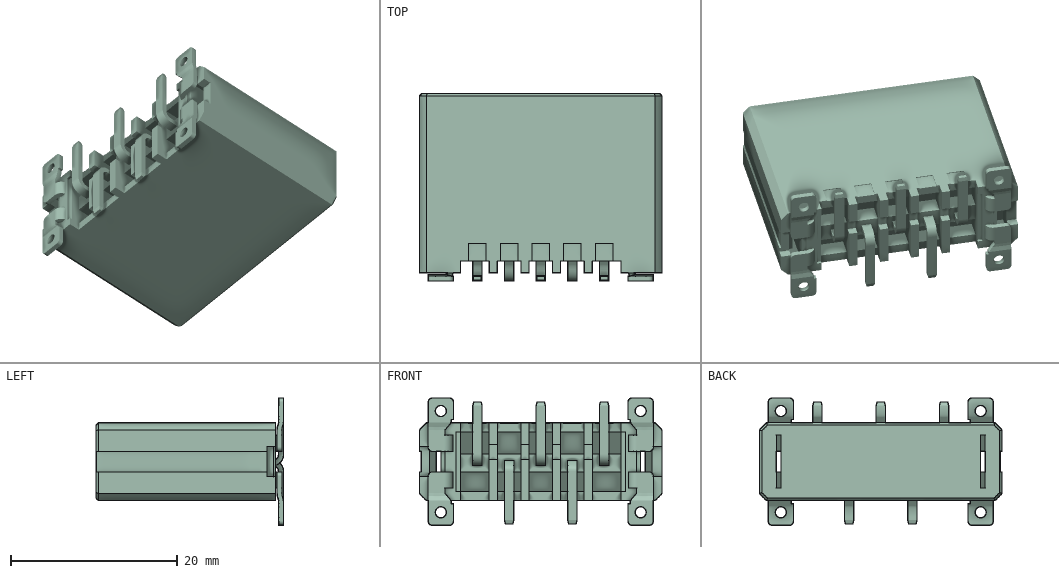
import cadquery as cq
import math

OVERALL_WIDTH = 29.24
OVERALL_DEPTH = 22.6
OVERALL_HEIGHT = 15.35
FRONT_OVERHANG = 0.97

BODY_DEPTH = OVERALL_DEPTH - FRONT_OVERHANG
BODY_HEIGHT = 9.38
CORNER_CHAMFER = 0.85
REAR_CHAMFER = 0.3

PIN_PITCH = 3.81
PIN_COUNT = 5
BAY_HALF_WIDTH = 9.65
BAY_HALF_HEIGHT = 3.6
NOSE_SETBACK = 1.42
WINDOW_HALF_WIDTH = 10.2
WINDOW_DEPTH = 0.3
BAY_DEPTH = 3.5
SEPTUM_TOP = 0.92
SEPTUM_BOTTOM = -1.24
SEPTUM_FRONT = NOSE_SETBACK
FINGER_WIDTH = 1.0
FINGER_GAP_DEPTH = 0.96
FINGER_GAP_TOP = 2.09
FINGER_GAP_BOTTOM = 0.27

PANEL_WIDTH = 2.1
PANEL_LENGTH = 2.1
PANEL_DEPTH = 0.1

CHANNEL_HALF_HEIGHT = 1.23
CHANNEL_DEPTH = 0.22
NOTCH_HALF_HEIGHT = 1.8
NOTCH_DEPTH = 1.0
NOTCH_INNER_X = 13.42
LEDGE_DEPTH = 0.22
LEDGE_INNER_X = 11.5
SLOT_OUTER_X = 12.58
SLOT_INNER_X = 12.03
POCKET_DEPTH = 3.0
POCKET_HALF_HEIGHT = 3.2

PIN_WIDTH = 1.15
PIN_THICKNESS = 0.64
PIN_BEND_RADIUS = 1.3
PIN_AXIS_Z = (SEPTUM_TOP + SEPTUM_BOTTOM) / 2
PIN_REACH = 7.35
PIN_TIP_LENGTH = 0.45
PIN_TIP_TAPER = 0.12

SHEET = 0.6
CLIP_TOP = OVERALL_HEIGHT / 2
CLIP_OUTER_X = 13.56
CLIP_INNER_X = 10.5
CLIP_NECK_X = 11.55
CLIP_BOTTOM = CHANNEL_HALF_HEIGHT
CLIP_HOLE_DIAMETER = 1.3
CLIP_HOLE_Z = 6.1
CLIP_CORNER = 0.5
PAD_FRONT = 0.77
JOGGLE_TOP = 4.7
JOGGLE_MIDDLE = 4.15
JOGGLE_BOTTOM = 3.8
JOGGLE_MIDDLE_FRONT = 0.8
LEG_TOP = POCKET_HALF_HEIGHT
LEG_DEPTH = POCKET_DEPTH
EAR_BOTTOM = 5.05
NECK_CHAMFER = 0.27


def box(x0, x1, y0, y1, z0, z1):
    """Axis-aligned box between two corners."""
    return cq.Workplane("XY").box(x1 - x0, y1 - y0, z1 - z0, centered=False).translate((x0, y0, z0))


def both_ends(shape):
    """The shape together with its mirror image across X = 0."""
    return shape.union(shape.mirror("YZ"))


PIN_POSITIONS = [(i - (PIN_COUNT - 1) / 2) * PIN_PITCH for i in range(PIN_COUNT)]
FINGER_POSITIONS = [x + PIN_PITCH / 2 for x in PIN_POSITIONS[:-1]]


def make_block():
    """Housing block with chamfered long edges and a small chamfer around the rear face."""
    block = cq.Workplane("XY").box(OVERALL_WIDTH, BODY_DEPTH, BODY_HEIGHT)
    block = block.translate((0, BODY_DEPTH / 2, 0))
    block = block.edges("|Y").chamfer(CORNER_CHAMFER)
    return block.faces(">Y").chamfer(REAR_CHAMFER)


def bay_cut():
    """Front opening: set-back nose, shallow window and deep bays around a septum."""
    half_height = BODY_HEIGHT / 2
    nose = box(-BAY_HALF_WIDTH, BAY_HALF_WIDTH, 0, NOSE_SETBACK, -half_height, half_height)
    window = box(-WINDOW_HALF_WIDTH, WINDOW_HALF_WIDTH, 0, WINDOW_DEPTH, -BAY_HALF_HEIGHT, BAY_HALF_HEIGHT)
    bays = box(-BAY_HALF_WIDTH, BAY_HALF_WIDTH, 0, BAY_DEPTH, -BAY_HALF_HEIGHT, BAY_HALF_HEIGHT)
    septum = box(-BAY_HALF_WIDTH, BAY_HALF_WIDTH, SEPTUM_FRONT, BAY_DEPTH, SEPTUM_BOTTOM, SEPTUM_TOP)
    opening = nose.union(window).union(bays).cut(septum)
    for x in FINGER_POSITIONS:
        opening = opening.cut(finger(x))
    return opening


def finger(x):
    """Divider between two bays, notched back near its middle."""
    left = x - FINGER_WIDTH / 2
    right = x + FINGER_WIDTH / 2
    wall = box(left, right, 0, BAY_DEPTH, -BODY_HEIGHT / 2, BODY_HEIGHT / 2)
    return wall.cut(box(left, right, 0, FINGER_GAP_DEPTH, FINGER_GAP_BOTTOM, FINGER_GAP_TOP))


def panel_cut(x):
    """Shallow square panel in the top face behind one bay."""
    top = BODY_HEIGHT / 2
    return box(x - PANEL_WIDTH / 2, x + PANEL_WIDTH / 2, NOSE_SETBACK, NOSE_SETBACK + PANEL_LENGTH,
               top - PANEL_DEPTH, top)


def end_cut():
    """Notch, pocket, through slot and shallow ledge at the -X end."""
    side = -OVERALL_WIDTH / 2
    notch = box(side, -NOTCH_INNER_X, 0, NOTCH_DEPTH, -NOTCH_HALF_HEIGHT, NOTCH_HALF_HEIGHT)
    pocket = box(-NOTCH_INNER_X, -SLOT_INNER_X, 0, POCKET_DEPTH, -POCKET_HALF_HEIGHT, POCKET_HALF_HEIGHT)
    slot = box(-SLOT_OUTER_X, -SLOT_INNER_X, 0, BODY_DEPTH, -POCKET_HALF_HEIGHT, POCKET_HALF_HEIGHT)
    ledge = box(-SLOT_INNER_X, -LEDGE_INNER_X, 0, LEDGE_DEPTH, -POCKET_HALF_HEIGHT, POCKET_HALF_HEIGHT)
    return notch.union(pocket).union(slot).union(ledge)


def make_housing():
    housing = make_block().cut(bay_cut()).cut(both_ends(end_cut()))
    side = -OVERALL_WIDTH / 2
    housing = housing.cut(box(side, side + CHANNEL_DEPTH, 0, BODY_DEPTH,
                              -CHANNEL_HALF_HEIGHT, CHANNEL_HALF_HEIGHT))
    for x in PIN_POSITIONS:
        housing = housing.cut(panel_cut(x))
    return housing


def make_pin(x, direction):
    """Right-angle pin; direction +1 turns up and -1 turns down."""
    front = -FRONT_OVERHANG
    half = PIN_THICKNESS / 2
    outer = PIN_BEND_RADIUS
    inner = PIN_BEND_RADIUS - PIN_THICKNESS
    centre_y = front + outer
    centre_z = outer - half
    diagonal = math.sqrt(0.5)
    shoulder = PIN_REACH - PIN_TIP_LENGTH
    profile = (
        cq.Workplane("YZ")
        .moveTo(BAY_DEPTH, -half)
        .lineTo(centre_y, -half)
        .threePointArc((centre_y - outer * diagonal, centre_z - outer * diagonal), (front, centre_z))
        .lineTo(front, shoulder)
        .lineTo(front + PIN_TIP_TAPER, PIN_REACH)
        .lineTo(front + PIN_THICKNESS - PIN_TIP_TAPER, PIN_REACH)
        .lineTo(front + PIN_THICKNESS, shoulder)
        .lineTo(front + PIN_THICKNESS, centre_z)
        .threePointArc((centre_y - inner * diagonal, centre_z - inner * diagonal), (centre_y, half))
        .lineTo(BAY_DEPTH, half)
        .close()
    )
    pin = profile.extrude(PIN_WIDTH / 2, both=True)
    pin = pin.faces(">Z").edges("|Y").chamfer(PIN_TIP_LENGTH, PIN_TIP_TAPER)
    if direction < 0:
        pin = pin.mirror("XY")
    return pin.translate((x, 0, PIN_AXIS_Z))


def clip_plate():
    """Flat part of a clip: ear with a hole, joggle and pad, at the -X, +Z corner."""
    ear_front = -FRONT_OVERHANG
    front_line = [
        (ear_front, CLIP_TOP),
        (ear_front, JOGGLE_TOP),
        (-JOGGLE_MIDDLE_FRONT, JOGGLE_MIDDLE),
        (-PAD_FRONT, JOGGLE_BOTTOM),
        (-PAD_FRONT, CLIP_BOTTOM),
    ]
    rear_line = [(y + SHEET, z) for y, z in reversed(front_line)]
    strip = cq.Workplane("YZ").polyline(front_line + rear_line).close().extrude(-CLIP_OUTER_X)
    outline = (
        cq.Workplane("XZ")
        .moveTo(-CLIP_OUTER_X, CLIP_BOTTOM)
        .lineTo(-CLIP_OUTER_X, CLIP_TOP)
        .lineTo(-CLIP_INNER_X, CLIP_TOP)
        .lineTo(-CLIP_INNER_X, EAR_BOTTOM)
        .lineTo(-CLIP_INNER_X - NECK_CHAMFER, EAR_BOTTOM)
        .lineTo(-CLIP_INNER_X - NECK_CHAMFER, JOGGLE_TOP)
        .lineTo(-CLIP_NECK_X, JOGGLE_BOTTOM)
        .lineTo(-CLIP_NECK_X, CLIP_BOTTOM)
        .close()
        .extrude(FRONT_OVERHANG)
    )
    outline = outline.edges("|Y and >Z").fillet(CLIP_CORNER)
    outline = outline.edges("|Y and <X and <Z").fillet(CLIP_CORNER)
    ear_centre_x = -(CLIP_OUTER_X + CLIP_INNER_X) / 2
    hole = (
        cq.Workplane("XZ")
        .center(ear_centre_x, CLIP_HOLE_Z)
        .circle(CLIP_HOLE_DIAMETER / 2)
        .extrude(FRONT_OVERHANG)
    )
    return strip.intersect(outline).cut(hole)


def clip_leg():
    """Rolled inner edge of a clip, turning from the pad back into the housing."""
    roll = CLIP_NECK_X - CLIP_INNER_X
    inner_roll = roll - SHEET
    inner_x = -CLIP_INNER_X
    diagonal = math.sqrt(0.5)
    front = -PAD_FRONT
    leg = (
        cq.Workplane("XY")
        .moveTo(-CLIP_NECK_X, front)
        .threePointArc((-CLIP_NECK_X + roll * diagonal, front + roll * (1 - diagonal)),
                       (inner_x, front + roll))
        .lineTo(inner_x, LEG_DEPTH)
        .lineTo(inner_x - SHEET, LEG_DEPTH)
        .lineTo(inner_x - SHEET, front + roll)
        .threePointArc((-CLIP_NECK_X + inner_roll * diagonal, front + roll - inner_roll * diagonal),
                       (-CLIP_NECK_X, front + SHEET))
        .close()
        .extrude(LEG_TOP - CLIP_BOTTOM)
    )
    return leg.translate((0, 0, CLIP_BOTTOM))


def make_clips():
    clip = clip_plate().union(clip_leg())
    return both_ends(clip.union(clip.mirror("XY")))


result = make_housing().union(make_clips())
for index, pin_x in enumerate(PIN_POSITIONS):
    result = result.union(make_pin(pin_x, 1 if index % 2 == 0 else -1))